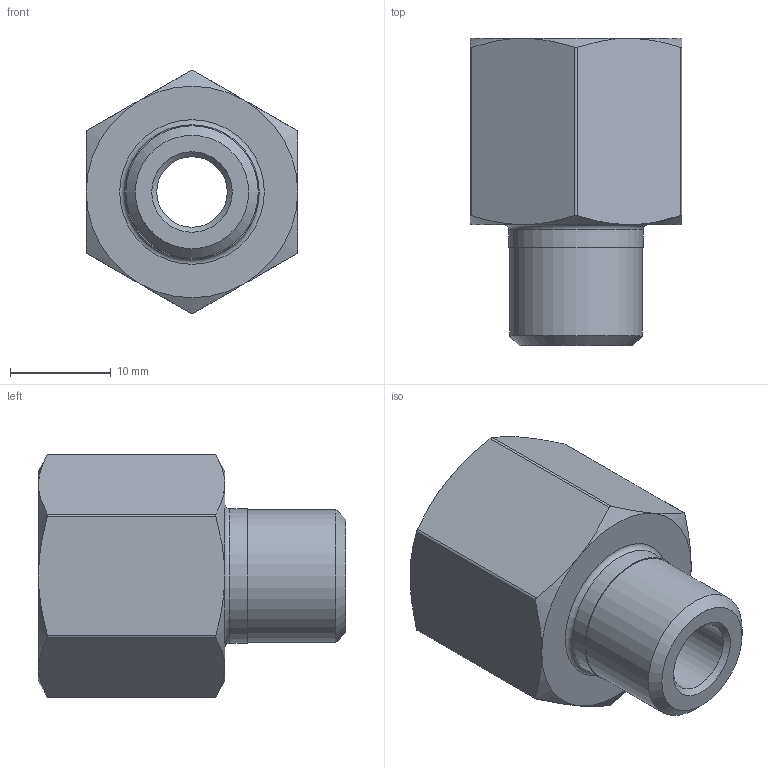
import cadquery as cq
import math

ACROSS_FLATS = 21.0
HEX_LENGTH = 18.5
HEX_SIDES = 6
HEX_HALF_ANGLE = 180 / HEX_SIDES
HEX_EDGE_RADIUS = 0.3
HEX_CHAMFER_ANGLE = 30.0

SPIGOT_LENGTH = 12.0
SPIGOT_DIAMETER = 13.16
SPIGOT_CHAMFER = 0.95
COLLAR_DIAMETER = 13.36
COLLAR_LENGTH = 2.25
COLLAR_ROOT_FILLET = 0.5

BORE_DIAMETER = 7.0
BORE_CHAMFER = 0.5

SPIGOT_END_Y = -SPIGOT_LENGTH
HEX_END_Y = HEX_LENGTH


def revolve_about_y(profile):
    """Revolve a closed XY profile a full turn about the Y axis."""
    return profile.close().revolve(360, (0, 0, 0), (0, 1, 0))


def hexagon_body():
    """Hexagonal prism with rounded edges and conically chamfered ends."""
    across_corners = ACROSS_FLATS / math.cos(math.radians(HEX_HALF_ANGLE))
    prism = (
        cq.Workplane("XZ")
        .polygon(HEX_SIDES, across_corners)
        .extrude(-HEX_LENGTH)
        .rotate((0, 0, 0), (0, 1, 0), HEX_HALF_ANGLE)
        .edges("|Y")
        .fillet(HEX_EDGE_RADIUS)
    )

    inner_radius = ACROSS_FLATS / 2
    outer_radius = across_corners / 2
    chamfer_depth = (outer_radius - inner_radius) * math.tan(math.radians(HEX_CHAMFER_ANGLE))
    envelope = revolve_about_y(
        cq.Workplane("XY")
        .moveTo(0, 0)
        .lineTo(inner_radius, 0)
        .lineTo(outer_radius, chamfer_depth)
        .lineTo(outer_radius, HEX_END_Y - chamfer_depth)
        .lineTo(inner_radius, HEX_END_Y)
        .lineTo(0, HEX_END_Y)
    )
    return prism.intersect(envelope)


def spigot():
    """Turned spigot with end chamfer, collar and a concave root fillet."""
    spigot_radius = SPIGOT_DIAMETER / 2
    collar_radius = COLLAR_DIAMETER / 2
    overlap = 1.0
    fillet_radius = COLLAR_ROOT_FILLET
    fillet_mid_offset = fillet_radius * (1 - math.sqrt(0.5))
    return revolve_about_y(
        cq.Workplane("XY")
        .moveTo(0, SPIGOT_END_Y)
        .lineTo(spigot_radius - SPIGOT_CHAMFER, SPIGOT_END_Y)
        .lineTo(spigot_radius, SPIGOT_END_Y + SPIGOT_CHAMFER)
        .lineTo(spigot_radius, -COLLAR_LENGTH)
        .lineTo(collar_radius, -COLLAR_LENGTH)
        .lineTo(collar_radius, -fillet_radius)
        .threePointArc(
            (collar_radius + fillet_mid_offset, -fillet_mid_offset),
            (collar_radius + fillet_radius, 0),
        )
        .lineTo(collar_radius + fillet_radius, overlap)
        .lineTo(0, overlap)
    )


def bore():
    """Cutter for the through bore, chamfered at the spigot mouth."""
    bore_radius = BORE_DIAMETER / 2
    return revolve_about_y(
        cq.Workplane("XY")
        .moveTo(0, SPIGOT_END_Y)
        .lineTo(bore_radius + BORE_CHAMFER, SPIGOT_END_Y)
        .lineTo(bore_radius, SPIGOT_END_Y + BORE_CHAMFER)
        .lineTo(bore_radius, HEX_END_Y)
        .lineTo(0, HEX_END_Y)
    )


result = hexagon_body().union(spigot()).cut(bore())